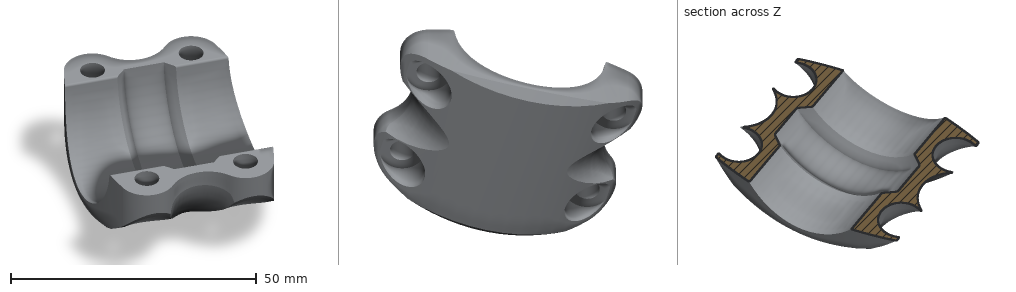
import cadquery as cq
import math

length = 50.6
width = 38.1
half_width = width / 2
depth = 18.2

bolt_x = 19.45
bolt_y = 10.45
hole_diameter = 5.05
lobe_radius = length / 2 - bolt_x
spotface_radius = 4.65
spotface_z = -6.7

barrel_radius = 30.45
barrel_axis_z = barrel_radius - depth
barrel_chamfer = 1.8

bore_radius = 16.0
bore_axis_z = 1.2
groove_depth = 2.0
groove_floor_half = 4.2
groove_mouth_half = groove_floor_half + groove_depth
bore_edge_radius = 0.5

waist_x = 20.4
relief_floor_radius = 20.9
relief_profile_radius = 7.5


def bolt_points():
    return [(sx * bolt_x, sy * bolt_y) for sx in (-1, 1) for sy in (-1, 1)]


def revolve_about_y(profile, axis_z):
    """Revolve a (radius, y) profile about the line parallel to Y at height axis_z."""
    return profile.revolve(360, (0, 0, 0), (0, 1, 0)).translate((0, 0, axis_z))


def flange_outline():
    """Bowed ends, round lobes and concave waists, all tangent to one another."""
    waist_offset = bolt_x - waist_x
    waist_radius = (waist_offset**2 + bolt_y**2 - lobe_radius**2) / (2 * (lobe_radius + waist_offset))
    waist_center_x = waist_x + waist_radius
    end_rise = half_width - bolt_y
    end_radius = (bolt_x**2 + end_rise**2 - lobe_radius**2) / (2 * (end_rise - lobe_radius))
    end_center_y = half_width - end_radius

    waist_share = lobe_radius / (lobe_radius + waist_radius)
    waist_joint_x = bolt_x + (waist_center_x - bolt_x) * waist_share
    waist_joint_y = bolt_y * (1 - waist_share)
    end_scale = end_radius / (end_radius - lobe_radius)
    end_joint_x = bolt_x * end_scale
    end_joint_y = end_center_y + (bolt_y - end_center_y) * end_scale
    tip_x = bolt_x + lobe_radius
    return (
        cq.Workplane("XY")
        .moveTo(-end_joint_x, end_joint_y)
        .threePointArc((0, half_width), (end_joint_x, end_joint_y))
        .threePointArc((tip_x, bolt_y), (waist_joint_x, waist_joint_y))
        .threePointArc((waist_x, 0), (waist_joint_x, -waist_joint_y))
        .threePointArc((tip_x, -bolt_y), (end_joint_x, -end_joint_y))
        .threePointArc((0, -half_width), (-end_joint_x, -end_joint_y))
        .threePointArc((-tip_x, -bolt_y), (-waist_joint_x, -waist_joint_y))
        .threePointArc((-waist_x, 0), (-waist_joint_x, waist_joint_y))
        .threePointArc((-tip_x, bolt_y), (-end_joint_x, end_joint_y))
        .close()
    )


def barrel():
    rim_radius = barrel_radius - barrel_chamfer
    flat_half = half_width - barrel_chamfer
    profile = (
        cq.Workplane("XY")
        .moveTo(0, -half_width)
        .lineTo(rim_radius, -half_width)
        .lineTo(barrel_radius, -flat_half)
        .lineTo(barrel_radius, flat_half)
        .lineTo(rim_radius, half_width)
        .lineTo(0, half_width)
        .close()
    )
    return revolve_about_y(profile, barrel_axis_z)


def bore():
    return cq.Workplane("XZ").center(0, bore_axis_z).circle(bore_radius).extrude(length, both=True)


def groove():
    groove_radius = bore_radius + groove_depth
    profile = (
        cq.Workplane("XY")
        .moveTo(0, -groove_mouth_half)
        .lineTo(bore_radius, -groove_mouth_half)
        .lineTo(groove_radius, -groove_floor_half)
        .lineTo(groove_radius, groove_floor_half)
        .lineTo(bore_radius, groove_mouth_half)
        .lineTo(0, groove_mouth_half)
        .close()
    )
    return revolve_about_y(profile, bore_axis_z)


def waist_relief():
    """Ring of round section around the bore axis; it only bites where the barrel is thick."""
    profile = (
        cq.Workplane("XY")
        .moveTo(relief_floor_radius + relief_profile_radius, 0)
        .circle(relief_profile_radius)
    )
    return revolve_about_y(profile, bore_axis_z)


def spotfaces():
    return (
        cq.Workplane("XY", origin=(0, 0, spotface_z))
        .pushPoints(bolt_points())
        .circle(spotface_radius)
        .extrude(-depth)
    )


def bolt_holes():
    return cq.Workplane("XY").pushPoints(bolt_points()).circle(hole_diameter / 2).extrude(-depth)


bore_mouth_x = math.sqrt(bore_radius**2 - bore_axis_z**2)
margin = 0.05
bore_edges = cq.selectors.BoxSelector(
    (-bore_mouth_x - margin, -length, -margin),
    (bore_mouth_x + margin, length, margin),
)

body = flange_outline().extrude(-depth).intersect(barrel()).cut(bore())
body = body.edges("|Y").edges(bore_edges).fillet(bore_edge_radius)
result = body.cut(groove()).cut(waist_relief()).cut(spotfaces()).cut(bolt_holes())